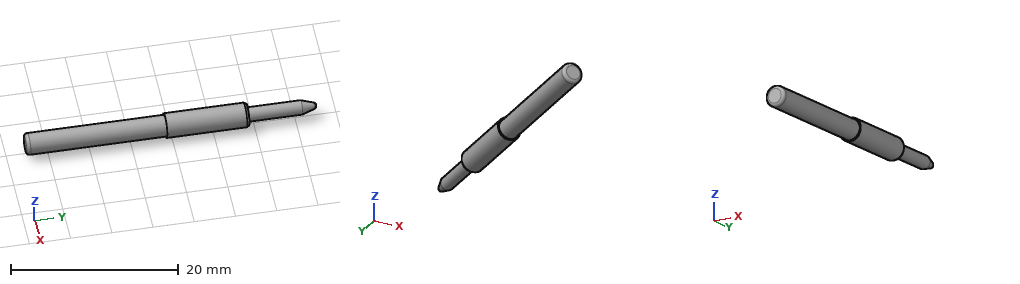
import cadquery as cq
import math

total_length = 35.3

barrel_diameter = 3.0
body_diameter = 2.65
pin_diameter = 1.75
barrel_radius = barrel_diameter / 2
body_radius = body_diameter / 2
pin_radius = pin_diameter / 2

barrel_rear = 16.98
barrel_front = 26.97
cone_start = 33.45

barrel_taper_length = 0.32
barrel_taper_depth = 0.18
rear_round = 0.42
ball_radius = 0.42

ball_centre = total_length - ball_radius
cone_to_centre = math.hypot(ball_centre - cone_start, pin_radius)
slope_to_centre = math.atan2(pin_radius, ball_centre - cone_start)
cone_half_angle = slope_to_centre - math.asin(ball_radius / cone_to_centre)


def ball_point(angle):
    """Point (radius, Y) on the ball, at an angle up from its equator."""
    return (ball_radius * math.cos(angle), ball_centre + ball_radius * math.sin(angle))


ball_arc_middle = (cone_half_angle + math.pi / 2) / 2

profile = (
    cq.Workplane("XY")
    .moveTo(0, 0)
    .lineTo(body_radius - rear_round, 0)
    .tangentArcPoint((body_radius, rear_round), relative=False)
    .lineTo(body_radius, barrel_rear)
    .lineTo(barrel_radius, barrel_rear)
    .lineTo(barrel_radius, barrel_front - barrel_taper_length)
    .lineTo(barrel_radius - barrel_taper_depth, barrel_front)
    .lineTo(pin_radius, barrel_front)
    .lineTo(pin_radius, cone_start)
    .lineTo(*ball_point(cone_half_angle))
    .threePointArc(ball_point(ball_arc_middle), (0, total_length))
    .close()
)

result = profile.revolve(axisStart=(0, 0, 0), axisEnd=(0, 1, 0))